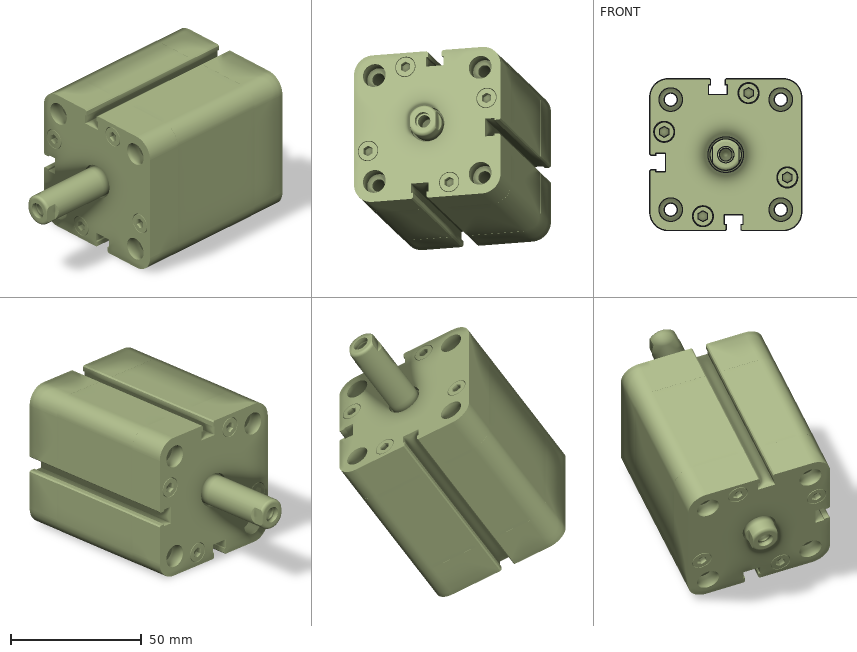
import cadquery as cq
import math

tube_width = 58.0
cover_width = 58.1
body_length = 70.5
cover_length = 14.8
cover_corner_radius = 7.3
tube_corner_radius = 7.0

rod_diameter = 12.0
front_rod_length = 31.6
rear_rod_length = 6.4
rod_end_fillet = 1.25
rod_gap_diameter = 13.6
rod_gap_depth = 2.0

flat_width = 10.0
flat_length = 4.4
thread_core_diameter = 4.92
thread_mouth_diameter = 6.25
thread_mouth_depth = 2.0
thread_depth = 12.0
drill_point_angle = 120.0

mounting_spacing = 42.0
mounting_hole_diameter = 4.92
mounting_bore_diameter = 9.0
mounting_bore_depth = 6.0

screw_count = 4
screw_offset = 8.7
screw_distance = 23.5
screw_bore_diameter = 8.0
screw_head_diameter = 7.5
screw_head_height = 4.0
screw_socket_flats = 3.6
screw_socket_depth = 2.5

slot_offset = 3.0
slot_opening_width = 5.5
slot_inner_width = 7.0
slot_lip_height = 2.4
slot_depth = 6.05
slot_edge_chamfer = 0.5
slot_angles = (0, 90, 180)

cover_half_width = cover_width / 2
front_rod_end = -front_rod_length
rear_rod_end = body_length + rear_rod_length
body_middle = body_length / 2


def plane_at(y):
    """XZ plane at the given Y, with local x along +X, local y along +Z and normal -Y."""
    return cq.Workplane("XZ", origin=(0, y, 0))


def cylinder(diameter, y_start, length, x=0.0, z=0.0):
    """Cylinder running along +Y from y_start."""
    return plane_at(y_start).center(x, z).circle(diameter / 2).extrude(-length)


def rounded_block(y_start, length, width, corner_radius):
    block = plane_at(y_start).rect(width, width).extrude(-length)
    return block.edges("|Y").fillet(corner_radius)


def mirrored(front_shape):
    """Copy of a front-end shape at the rear end of the body."""
    return front_shape.mirror("XZ", (0, body_middle, 0))


def make_body():
    cover = rounded_block(0, cover_length, cover_width, cover_corner_radius)
    tube_length = body_length - 2 * cover_length
    tube = rounded_block(cover_length, tube_length, tube_width, tube_corner_radius)
    return tube.union(cover).union(mirrored(cover))


def sensor_slot():
    """Slot along the whole body in the top side, chamfered along its opening."""
    half_opening = slot_opening_width / 2
    half_inner = slot_inner_width / 2
    lip_z = cover_half_width - slot_lip_height
    profile = [
        (half_opening + slot_edge_chamfer, cover_half_width),
        (half_opening, cover_half_width - slot_edge_chamfer),
        (half_opening, lip_z),
        (half_inner, lip_z),
        (half_inner, cover_half_width - slot_depth),
    ]
    other_side = [(-x, z) for x, z in reversed(profile)]
    outline = plane_at(0).center(-slot_offset, 0).polyline(profile + other_side).close()
    return outline.extrude(-body_length)


def turned(shape, angle):
    """Shape turned about the Y axis, from the top side towards the left side."""
    return shape.rotate((0, 0, 0), (0, 1, 0), -angle)


def mounting_holes():
    """Through holes with a counterbore in each cover."""
    holes = cq.Workplane()
    half_spacing = mounting_spacing / 2
    for x in (-half_spacing, half_spacing):
        for z in (-half_spacing, half_spacing):
            bore = cylinder(mounting_bore_diameter, 0, mounting_bore_depth, x, z)
            holes = holes.add(cylinder(mounting_hole_diameter, 0, body_length, x, z))
            holes = holes.add(bore).add(mirrored(bore))
    return holes.combine()


def screw_recesses():
    """Ring gaps around the front screw heads, and the hexagon sockets in the heads."""
    socket_corner_diameter = screw_socket_flats / math.cos(math.radians(30))
    recesses = cq.Workplane()
    for i in range(screw_count):
        angle = math.radians(i * 360 / screw_count)
        x = screw_offset * math.cos(angle) - screw_distance * math.sin(angle)
        z = screw_offset * math.sin(angle) + screw_distance * math.cos(angle)
        gap = cylinder(screw_bore_diameter, 0, screw_head_height, x, z)
        gap = gap.cut(cylinder(screw_head_diameter, 0, screw_head_height, x, z))
        socket = plane_at(0).center(x, z).transformed(rotate=(0, 0, 90))
        socket = socket.polygon(6, socket_corner_diameter).extrude(-screw_socket_depth)
        recesses = recesses.add(gap).add(socket)
    return recesses.combine()


def make_rod():
    rod = cylinder(rod_diameter, front_rod_end, rear_rod_end - front_rod_end)
    return rod.faces("<Y or >Y").edges().fillet(rod_end_fillet)


def wrench_flats():
    """Cutters for two parallel flats at the front rod end, with 45 degree run-outs."""
    inner_x = flat_width / 2
    outer_x = rod_diameter / 2
    flat_end = front_rod_end + flat_length
    profile = [
        (inner_x, front_rod_end),
        (inner_x, flat_end),
        (outer_x, flat_end + outer_x - inner_x),
        (outer_x, front_rod_end),
    ]
    flat = cq.Workplane("XY").polyline(profile).close().extrude(rod_diameter / 2, both=True)
    return flat.union(flat.mirror("YZ"))


def thread_hole():
    """Blind drilled hole with a wider mouth and a conical bottom."""
    core_radius = thread_core_diameter / 2
    mouth_radius = thread_mouth_diameter / 2
    mouth_end = front_rod_end + thread_mouth_depth
    core_end = front_rod_end + thread_depth
    tip = core_end + core_radius / math.tan(math.radians(drill_point_angle / 2))
    profile = [
        (0, front_rod_end),
        (mouth_radius, front_rod_end),
        (mouth_radius, mouth_end),
        (core_radius, mouth_end),
        (core_radius, core_end),
        (0, tip),
    ]
    return cq.Workplane("XY").polyline(profile).close().revolve(360, (0, 0), (0, 1))


def at_rear_rod_end(front_shape):
    """Copy of a front rod end shape at the rear end of the rod."""
    return front_shape.mirror("XZ", (0, (front_rod_end + rear_rod_end) / 2, 0))


body = make_body()
for slot_angle in slot_angles:
    body = body.cut(turned(sensor_slot(), slot_angle))

rod_gap = cylinder(rod_gap_diameter, 0, rod_gap_depth)
body = body.cut(mounting_holes())
for recess in (screw_recesses(), rod_gap):
    body = body.cut(recess).cut(mirrored(recess))

rod = make_rod()
for cutter in (wrench_flats(), thread_hole()):
    rod = rod.cut(cutter).cut(at_rear_rod_end(cutter))

result = body.union(rod)